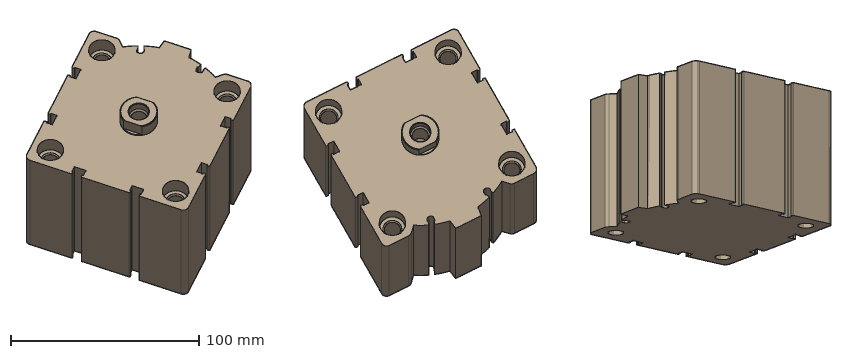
import cadquery as cq
import math

BODY_WIDTH = 93.0
BODY_HEIGHT = 74.0
HALF = BODY_WIDTH / 2
CORNER_RADIUS = 3.0
TOTAL_DEPTH = 101.0

CROWN_RADIUS = 50.0
CROWN_START_X = 26.6
SHOULDER_X = 30.6
SHOULDER_ROUND = 3.0
RIB_ROOT_X = 8.5
RIB_TIP_X = 7.7
RIB_TIP_Y = TOTAL_DEPTH - HALF

SLOT_OFFSET = 16.6
SLOT_MOUTH = 5.2
SLOT_WIDTH = 6.6
SLOT_DEPTH = 5.0
SLOT_LIP = 1.6
SLOT_MOUTH_ROUND = 0.4

CROWN_SLOT_X = 17.05
CROWN_SLOT_WIDTH = 3.7
CROWN_SLOT_FLOOR_Y = 41.9
CROWN_SLOT_TOP_Y = 45.1
CROWN_SLOT_ROUND = 1.5
CROWN_MOUTH_WIDTH = 3.1
CROWN_MOUTH_ANGLE = 21.0
CROWN_MOUTH_INNER_RADIUS = 47.5
CROWN_MOUTH_OVERRUN = 1.0

BOLT_SPACING = 72.0
BOLT_DIAMETER = 8.5
BOLT_CONE_DIAMETER = 10.0
BOLT_HEAD_DIAMETER = 14.0
BOLT_HEAD_DEPTH = 9.0

ROD_DIAMETER = 20.0
ROD_PROJECTION = 8.0
ROD_INSERTION = 30.0
ROD_CHAMFER = 0.4
FLAT_WIDTH = 17.0
FLAT_LENGTH = 7.25
ROD_TOP = BODY_HEIGHT + ROD_PROJECTION
ROD_BOTTOM = BODY_HEIGHT - ROD_INSERTION

ROD_BORE_DIAMETER = 10.5
ROD_BORE_DEPTH = 4.6
ROD_BORE_CHAMFER = 0.4
ROD_SEAT_HEIGHT = 1.0
ROD_DRILL_DIAMETER = 8.57
ROD_DRILL_DEPTH = 20.0
DRILL_POINT_ANGLE = 118.0


def crown_y(x):
    return math.sqrt(CROWN_RADIUS**2 - x**2)


def crown_arc(outline, start_x, end_x):
    middle_x = (start_x + end_x) / 2
    return outline.threePointArc((middle_x, crown_y(middle_x)), (end_x, crown_y(end_x)))


def block():
    outline = (
        cq.Workplane("XY")
        .moveTo(-HALF, -HALF)
        .lineTo(HALF, -HALF)
        .lineTo(HALF, HALF)
        .lineTo(SHOULDER_X, HALF)
        .lineTo(CROWN_START_X, crown_y(CROWN_START_X))
    )
    outline = crown_arc(outline, CROWN_START_X, RIB_ROOT_X)
    outline = outline.lineTo(RIB_TIP_X, RIB_TIP_Y).lineTo(-RIB_TIP_X, RIB_TIP_Y)
    outline = outline.lineTo(-RIB_ROOT_X, crown_y(RIB_ROOT_X))
    outline = crown_arc(outline, -RIB_ROOT_X, -CROWN_START_X)
    outline = outline.lineTo(-SHOULDER_X, HALF).lineTo(-HALF, HALF).close()
    solid = outline.extrude(BODY_HEIGHT)

    for x in (-HALF, HALF):
        for y in (-HALF, HALF):
            corner = cq.selectors.NearestToPointSelector((x, y, BODY_HEIGHT / 2))
            solid = solid.edges(corner).fillet(CORNER_RADIUS)
    for x in (-SHOULDER_X, SHOULDER_X):
        shoulder = cq.selectors.NearestToPointSelector((x, HALF, BODY_HEIGHT / 2))
        solid = solid.edges(shoulder).fillet(SHOULDER_ROUND)
    return solid


def side_slot(offset, side_angle):
    """T-slot in the -Y side at x = offset, then turned about Z to its own side."""
    mouth = SLOT_MOUTH / 2
    wide = SLOT_WIDTH / 2
    lip_y = -HALF + SLOT_LIP
    floor_y = -HALF + SLOT_DEPTH
    flare = mouth + SLOT_MOUTH_ROUND
    round_y = -HALF + SLOT_MOUTH_ROUND
    bulge = SLOT_MOUTH_ROUND * (1 - math.sqrt(0.5))
    profile = (
        cq.Workplane("XY")
        .center(offset, 0)
        .moveTo(-flare, -HALF)
        .threePointArc((-mouth - bulge, -HALF + bulge), (-mouth, round_y))
        .lineTo(-mouth, lip_y)
        .lineTo(-wide, lip_y)
        .lineTo(-wide, floor_y)
        .lineTo(wide, floor_y)
        .lineTo(wide, lip_y)
        .lineTo(mouth, lip_y)
        .lineTo(mouth, round_y)
        .threePointArc((mouth + bulge, -HALF + bulge), (flare, -HALF))
        .close()
    )
    return profile.extrude(BODY_HEIGHT).rotate((0, 0, 0), (0, 0, 1), side_angle)


def crown_slot(side):
    """Slot in the crown on the -X (side = -1) or +X (side = 1) half."""
    pocket_length = CROWN_SLOT_TOP_Y - CROWN_SLOT_FLOOR_Y
    pocket = (
        cq.Workplane("XY")
        .center(side * CROWN_SLOT_X, CROWN_SLOT_FLOOR_Y + pocket_length / 2)
        .rect(CROWN_SLOT_WIDTH, pocket_length)
        .extrude(BODY_HEIGHT)
        .edges("|Z and <Y")
        .fillet(CROWN_SLOT_ROUND)
    )
    mouth_length = CROWN_RADIUS + CROWN_MOUTH_OVERRUN - CROWN_MOUTH_INNER_RADIUS
    mouth = (
        cq.Workplane("XY")
        .center(0, CROWN_MOUTH_INNER_RADIUS + mouth_length / 2)
        .rect(CROWN_MOUTH_WIDTH, mouth_length)
        .extrude(BODY_HEIGHT)
        .rotate((0, 0, 0), (0, 0, 1), -side * CROWN_MOUTH_ANGLE)
    )
    return pocket.union(mouth)


def bolt_hole_cutter():
    """Counterbored through hole with a 45 degree cone below the counterbore floor."""
    seat_z = BODY_HEIGHT - BOLT_HEAD_DEPTH
    cone_z = seat_z - (BOLT_CONE_DIAMETER - BOLT_DIAMETER) / 2
    return (
        cq.Workplane("XZ")
        .moveTo(0, 0)
        .lineTo(BOLT_DIAMETER / 2, 0)
        .lineTo(BOLT_DIAMETER / 2, cone_z)
        .lineTo(BOLT_CONE_DIAMETER / 2, seat_z)
        .lineTo(BOLT_HEAD_DIAMETER / 2, seat_z)
        .lineTo(BOLT_HEAD_DIAMETER / 2, BODY_HEIGHT)
        .lineTo(0, BODY_HEIGHT)
        .close()
        .revolve(360, (0, 0), (0, 1))
    )


def rod_blank():
    return (
        cq.Workplane("XY")
        .workplane(offset=ROD_BOTTOM)
        .circle(ROD_DIAMETER / 2)
        .extrude(ROD_TOP - ROD_BOTTOM)
    )


def make_housing():
    housing = block()
    for side_angle in (-90, 0, 90):
        for offset in (-SLOT_OFFSET, SLOT_OFFSET):
            housing = housing.cut(side_slot(offset, side_angle))
    for side in (-1, 1):
        housing = housing.cut(crown_slot(side))
    for x in (-BOLT_SPACING / 2, BOLT_SPACING / 2):
        for y in (-BOLT_SPACING / 2, BOLT_SPACING / 2):
            housing = housing.cut(bolt_hole_cutter().translate((x, y, 0)))
    return housing.cut(rod_blank())


def rod_hole_cutter():
    bore = ROD_BORE_DIAMETER / 2
    drill = ROD_DRILL_DIAMETER / 2
    seat_z = ROD_TOP - ROD_BORE_DEPTH
    drill_z = ROD_TOP - ROD_DRILL_DEPTH
    point_height = drill / math.tan(math.radians(DRILL_POINT_ANGLE / 2))
    return (
        cq.Workplane("XZ")
        .moveTo(0, drill_z - point_height)
        .lineTo(drill, drill_z)
        .lineTo(drill, seat_z - ROD_SEAT_HEIGHT)
        .lineTo(bore, seat_z)
        .lineTo(bore, ROD_TOP - ROD_BORE_CHAMFER)
        .lineTo(bore + ROD_BORE_CHAMFER, ROD_TOP)
        .lineTo(0, ROD_TOP)
        .close()
        .revolve(360, (0, 0), (0, 1))
    )


def make_rod():
    rod = rod_blank().faces(">Z").edges().chamfer(ROD_CHAMFER)
    flat_depth = (ROD_DIAMETER - FLAT_WIDTH) / 2
    for side in (-1, 1):
        flat = (
            cq.Workplane("XY")
            .workplane(offset=ROD_TOP - FLAT_LENGTH)
            .center(0, side * (FLAT_WIDTH + flat_depth) / 2)
            .rect(ROD_DIAMETER, flat_depth)
            .extrude(FLAT_LENGTH)
        )
        rod = rod.cut(flat)
    return rod.cut(rod_hole_cutter())


housing = make_housing()
rod = make_rod()
result = cq.Compound.makeCompound([housing.val(), rod.val()])